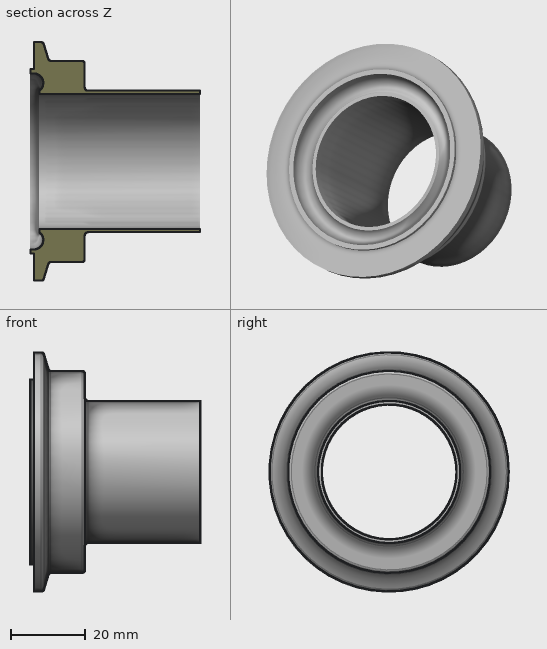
import cadquery as cq

total_length = 45.5
flange_face_x = 1.0
flange_round_start_x = 2.9
flange_round_end_x = 3.7
cone_end_x = 4.9
collar_start_x = 5.5
collar_end_x = 14.65
tube_end_x = 2.4
groove_start_x = 0.95

flange_radius = 32
flange_round_end_radius = 31.35
cone_end_radius = 27.4
collar_radius = 27.0
lip_radius = 24.8
groove_outer_radius = 23.5
groove_inner_radius = 18.95
tube_radius = 19.0
bore_radius = 18.0

collar_round = 0.8
neck_fillet = 0.8

groove_width = groove_outer_radius - groove_inner_radius
tube_end_offset = tube_end_x - groove_start_x
groove_radius = (groove_width**2 + tube_end_offset**2) / (2 * groove_width)
groove_center_radius = groove_outer_radius - groove_radius
groove_bottom_x = groove_start_x + groove_radius

profile = (
    cq.Workplane("XY")
    .moveTo(0, groove_outer_radius)
    .lineTo(0, lip_radius)
    .lineTo(flange_face_x, lip_radius)
    .lineTo(flange_face_x, flange_radius)
    .lineTo(flange_round_start_x, flange_radius)
    .tangentArcPoint((flange_round_end_x, flange_round_end_radius), relative=False)
    .lineTo(cone_end_x, cone_end_radius)
    .tangentArcPoint((collar_start_x, collar_radius), relative=False)
    .lineTo(collar_end_x - collar_round, collar_radius)
    .tangentArcPoint((collar_end_x, collar_radius - collar_round), relative=False)
    .lineTo(collar_end_x, tube_radius + neck_fillet)
    .tangentArcPoint((collar_end_x + neck_fillet, tube_radius), relative=False)
    .lineTo(total_length, tube_radius)
    .lineTo(total_length, bore_radius)
    .lineTo(tube_end_x, bore_radius)
    .lineTo(tube_end_x, groove_inner_radius)
    .threePointArc((groove_bottom_x, groove_center_radius), (groove_start_x, groove_outer_radius))
    .close()
)

result = profile.revolve(360, (0, 0, 0), (1, 0, 0))